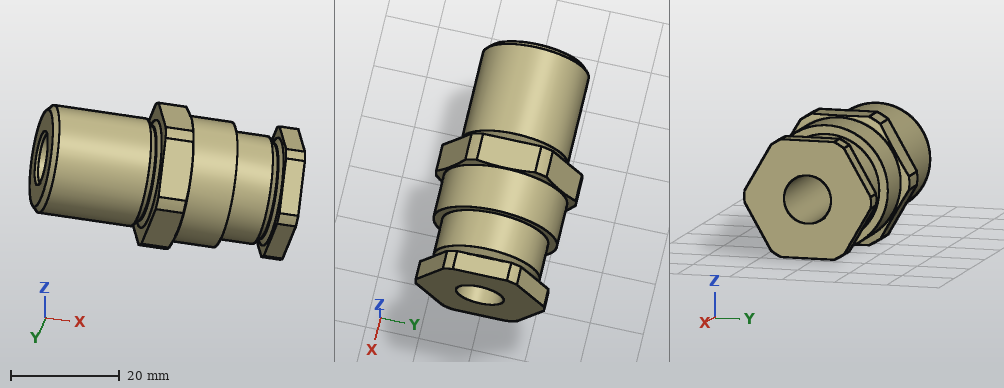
import cadquery as cq
import math

total_length = 46.9
thread_diameter = 20.03
groove_diameter = 17.75
collar_diameter = 23.3
collar_end = 34.25

bore_diameter = 9.0
bore_mouth_chamfer = 0.5

entry_chamfer = 1.0
groove_width = 0.2
groove_run_up = 0.65
run_out = (thread_diameter - groove_diameter) / 2

body_hex_start = 20.3
body_hex_end = 25.9
body_hex_flats = 24.0
body_hex_corners = 26.4
body_hex_bevel = 0.38

nut_start = 43.35
nut_flats = 22.0
nut_corners = 24.25


def cylinder(start, end, diameter):
    return cq.Workplane("YZ", origin=(start, 0, 0)).circle(diameter / 2).extrude(end - start)


def hexagon(start, end, flats, corners):
    """Hexagon with flats facing +Z and -Z, its corners turned to a cylinder."""
    sharp_corners = flats / math.cos(math.radians(30))
    prism = cq.Workplane("YZ", origin=(start, 0, 0)).polygon(6, sharp_corners).extrude(end - start)
    return prism.intersect(cylinder(start, end, corners))


def threaded_neck(start, hex_start):
    """Cylinder running out at 45 degrees into a groove, then rising to a hexagon."""
    groove_end = hex_start - groove_run_up
    groove_start = groove_end - groove_width
    outline = [
        (start, 0),
        (start, thread_diameter / 2),
        (groove_start - run_out, thread_diameter / 2),
        (groove_start, groove_diameter / 2),
        (groove_end, groove_diameter / 2),
        (hex_start, thread_diameter / 2),
        (hex_start, 0),
    ]
    return cq.Workplane("XY").polyline(outline).close().revolve(360, (0, 0, 0), (1, 0, 0))


def body_hexagon():
    bevel_depth = (body_hex_corners - body_hex_flats) / 2
    envelope = (
        cylinder(body_hex_start, body_hex_end, body_hex_corners)
        .faces(">X")
        .chamfer(body_hex_bevel, bevel_depth)
    )
    return hexagon(body_hex_start, body_hex_end, body_hex_flats, body_hex_corners).intersect(envelope)


entry_neck = threaded_neck(0, body_hex_start).faces("<X").chamfer(entry_chamfer)
collar = cylinder(body_hex_end, collar_end, collar_diameter)
nut_neck = threaded_neck(collar_end, nut_start)
nut = hexagon(nut_start, total_length, nut_flats, nut_corners)

fitting = entry_neck.union(body_hexagon()).union(collar).union(nut_neck).union(nut)

bore = cylinder(0, total_length, bore_diameter)
bored_fitting = fitting.cut(bore)
mouth_edge = bored_fitting.faces("<X").edges(cq.selectors.RadiusNthSelector(0))
result = mouth_edge.chamfer(bore_mouth_chamfer)